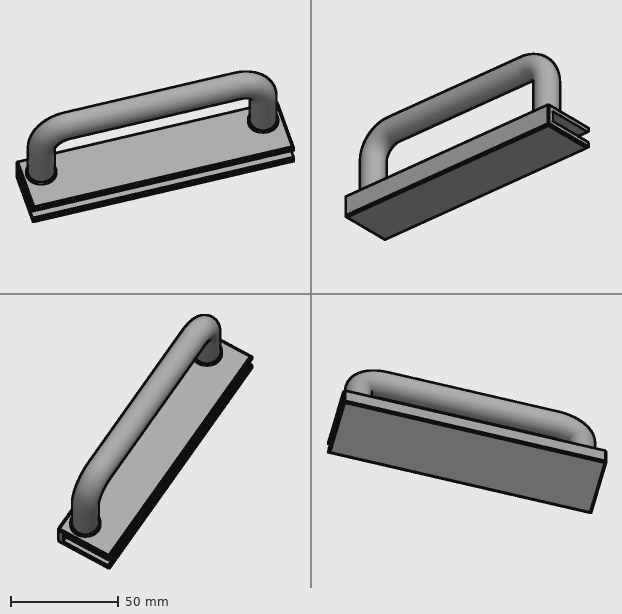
import cadquery as cq

base_width = 28.6
base_length = 127.0
base_height = 11.7
wall = 3.2
slot_height = base_height - 2 * wall
edge_chamfer = 0.77

overall_height = 49.8
bar_diameter = 12.7
bar_x = 9.5
leg_inset = 9.5
bend_radius = 12.7
foot_chamfer = 0.8

bar_radius = bar_diameter / 2
leg_y = base_length / 2 - leg_inset
bar_axis_z = overall_height - bar_radius
bend_z = bar_axis_z - bend_radius
bend_y = leg_y - bend_radius


def make_base():
    """Chamfered block with a slot running its full length."""
    block = cq.Workplane("XY").box(base_width, base_length, base_height, centered=(False, True, False))
    block = block.edges("|X or |Y or (|Z and <X)").chamfer(edge_chamfer)
    slot = (
        cq.Workplane("XY")
        .box(base_width, base_length, slot_height, centered=(False, True, False))
        .translate((wall, 0, wall))
    )
    channel = block.cut(slot)
    mouth_edges = cq.selectors.BoxSelector(
        (base_width - edge_chamfer / 2, -base_length, wall - edge_chamfer / 2),
        (base_width + edge_chamfer / 2, base_length, wall + slot_height + edge_chamfer / 2),
    )
    return channel.edges("|Y").edges(mouth_edges).chamfer(edge_chamfer)


def make_handle():
    """U-shaped round bar swept along its axis, starting on the base top."""
    path = (
        cq.Workplane("YZ", origin=(bar_x, 0, 0))
        .moveTo(-leg_y, base_height)
        .lineTo(-leg_y, bend_z)
        .tangentArcPoint((-bend_y, bar_axis_z), relative=False)
        .lineTo(bend_y, bar_axis_z)
        .tangentArcPoint((leg_y, bend_z), relative=False)
        .lineTo(leg_y, base_height)
    )
    start = cq.Workplane("XY", origin=(bar_x, -leg_y, base_height))
    return start.circle(bar_radius).sweep(path)


def chamfer_feet(body):
    """Flare both legs conically where they meet the top of the base."""
    foot_edges = cq.selectors.BoxSelector(
        (bar_x - bar_diameter, -base_length, base_height - foot_chamfer / 2),
        (bar_x + bar_diameter, base_length, base_height + foot_chamfer / 2),
    )
    return body.edges("%CIRCLE").edges(foot_edges).chamfer(foot_chamfer)


result = chamfer_feet(make_base().union(make_handle()))
result = result.translate((-base_width / 2, 0, 0))